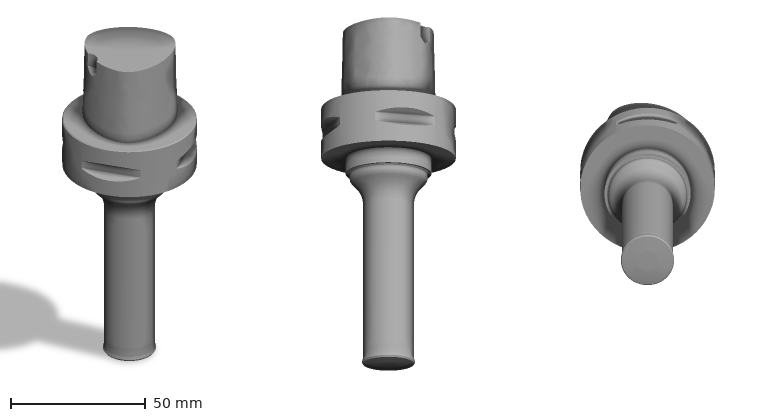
import cadquery as cq
import math

TOTAL_LENGTH = 129.0
SHANK_LINE_Z = 102.2
FLANGE_TOP_Z = 99.1
FLANGE_BOTTOM_Z = 79.5
COLLAR_BOTTOM_Z = 73.7
NECK_TOP_Z = 72.1
CUTTER_TOP_Z = 5.7

FLANGE_RADIUS = 50.0 / 2
FLANGE_CHAMFER = 0.4
COLLAR_RADIUS = 32.0 / 2
NECK_TOP_RADIUS = 29.0 / 2
NECK_CHAMFER = 0.5
STEM_RADIUS = 19.0 / 2

SHOULDER_ARC = 3.0
STEM_ARC = 10.0
ARC_RUN = math.sin(math.radians(45))
ARC_RISE = 1 - math.cos(math.radians(45))
CONE_TOP_RADIUS = NECK_TOP_RADIUS - SHOULDER_ARC * ARC_RISE
CONE_TOP_Z = NECK_TOP_Z - SHOULDER_ARC * ARC_RUN
CONE_BOTTOM_RADIUS = STEM_RADIUS + STEM_ARC * ARC_RISE
CONE_BOTTOM_Z = CONE_TOP_Z - (CONE_TOP_RADIUS - CONE_BOTTOM_RADIUS)
STEM_TOP_Z = CONE_BOTTOM_Z - STEM_ARC * ARC_RUN

LOBE_HEIGHT = 1.2
OUTLINE_POINTS = 48
SHANK_TOP_RADIUS = 16.9
SHANK_TAPER = 1 / 40
SHANK_BASE_RADIUS = SHANK_TOP_RADIUS + SHANK_TAPER * (TOTAL_LENGTH - SHANK_LINE_Z)

NOTCH_RADIUS = 4.4
NOTCH_SHOULDER_Z = 123.6
NOTCH_INNER_Y = -13.8

GROOVE_COUNT = 4
GROOVE_FIRST_ANGLE = 45
GROOVE_Z = 89.1
GROOVE_FLOOR_DISTANCE = 22.2
GROOVE_FLOOR_HEIGHT = 3.2
GROOVE_MOUTH_HEIGHT = 6.7
GROOVE_FILLET = 0.5

CUTTER_RADIUS = 9.9
CUTTER_RIM_TOP_Z = 1.0
CUTTER_RIM_BOTTOM_Z = 0.4
CUTTER_WAIST_RADIUS = 9.4
CUTTER_WAIST_Z = 3.7
CUTTER_FLARE_RADIUS = 9.5
CUTTER_FLARE_Z = 2.2
CUTTER_FACE_RADIUS = 3.9
CUTTER_FACE_EDGE_RADIUS = 9.5


def lobed_wire(mean_radius, z):
    """Three-lobed closed curve at height z, with one lobe pointing to +Y."""
    points = []
    for i in range(OUTLINE_POINTS):
        angle = 2 * math.pi * i / OUTLINE_POINTS
        reach = mean_radius + LOBE_HEIGHT * math.cos(3 * angle)
        slide = -3 * LOBE_HEIGHT * math.sin(3 * angle)
        x = -reach * math.sin(angle) - slide * math.cos(angle)
        y = reach * math.cos(angle) - slide * math.sin(angle)
        points.append(cq.Vector(x, y, z))
    return cq.Wire.assembleEdges([cq.Edge.makeSpline(points, periodic=True)])


def make_shank():
    base = lobed_wire(SHANK_BASE_RADIUS, FLANGE_TOP_Z)
    line = lobed_wire(SHANK_BASE_RADIUS, SHANK_LINE_Z)
    top = lobed_wire(SHANK_TOP_RADIUS, TOTAL_LENGTH)
    straight = cq.Workplane(cq.Solid.makeLoft([base, line], True))
    return straight.union(cq.Workplane(cq.Solid.makeLoft([line, top], True)))


def make_notch():
    """Round-nosed drill shape with a 90 degree tip."""
    return (
        cq.Workplane("XZ")
        .moveTo(0, TOTAL_LENGTH)
        .lineTo(NOTCH_RADIUS, TOTAL_LENGTH)
        .lineTo(NOTCH_RADIUS, NOTCH_SHOULDER_Z)
        .lineTo(0, NOTCH_SHOULDER_Z - NOTCH_RADIUS)
        .close()
        .revolve(360, (0, 0, 0), (0, 1, 0))
        .translate((0, NOTCH_INNER_Y - NOTCH_RADIUS, 0))
    )


def make_turned_body():
    """Flange, collar, flared neck and stem."""
    return (
        cq.Workplane("XZ")
        .moveTo(0, FLANGE_TOP_Z)
        .lineTo(FLANGE_RADIUS - FLANGE_CHAMFER, FLANGE_TOP_Z)
        .lineTo(FLANGE_RADIUS, FLANGE_TOP_Z - FLANGE_CHAMFER)
        .lineTo(FLANGE_RADIUS, FLANGE_BOTTOM_Z)
        .lineTo(COLLAR_RADIUS, FLANGE_BOTTOM_Z)
        .lineTo(COLLAR_RADIUS, COLLAR_BOTTOM_Z)
        .lineTo(NECK_TOP_RADIUS + NECK_CHAMFER, COLLAR_BOTTOM_Z)
        .lineTo(NECK_TOP_RADIUS, COLLAR_BOTTOM_Z - NECK_CHAMFER)
        .lineTo(NECK_TOP_RADIUS, NECK_TOP_Z)
        .tangentArcPoint((CONE_TOP_RADIUS, CONE_TOP_Z), relative=False)
        .lineTo(CONE_BOTTOM_RADIUS, CONE_BOTTOM_Z)
        .tangentArcPoint((STEM_RADIUS, STEM_TOP_Z), relative=False)
        .lineTo(STEM_RADIUS, CUTTER_TOP_Z)
        .lineTo(0, CUTTER_TOP_Z)
        .close()
        .revolve(360, (0, 0, 0), (0, 1, 0))
    )


def make_groove(angle):
    """Straight groove with a flat floor, rounded corners and flaring sides, facing the given direction."""
    floor_half = GROOVE_FLOOR_HEIGHT / 2
    mouth_half = GROOVE_MOUTH_HEIGHT / 2
    return (
        cq.Workplane("XZ")
        .polyline([
            (GROOVE_FLOOR_DISTANCE, GROOVE_Z - floor_half),
            (FLANGE_RADIUS, GROOVE_Z - mouth_half),
            (FLANGE_RADIUS, GROOVE_Z + mouth_half),
            (GROOVE_FLOOR_DISTANCE, GROOVE_Z + floor_half),
        ])
        .close()
        .extrude(FLANGE_RADIUS, both=True)
        .faces("<X")
        .edges("|Y")
        .fillet(GROOVE_FILLET)
        .rotate((0, 0, 0), (0, 0, 1), angle)
    )


def make_holder():
    holder = make_turned_body().union(make_shank()).cut(make_notch())
    for i in range(GROOVE_COUNT):
        holder = holder.cut(make_groove(GROOVE_FIRST_ANGLE + i * 360 / GROOVE_COUNT))
    return holder


def make_cutter():
    """Cutting head with a slight waist that widens to a rim and ends in a shallow cone."""
    return (
        cq.Workplane("XZ")
        .moveTo(0, CUTTER_TOP_Z)
        .lineTo(STEM_RADIUS, CUTTER_TOP_Z)
        .threePointArc((CUTTER_WAIST_RADIUS, CUTTER_WAIST_Z), (CUTTER_FLARE_RADIUS, CUTTER_FLARE_Z))
        .lineTo(CUTTER_RADIUS, CUTTER_RIM_TOP_Z)
        .lineTo(CUTTER_FACE_EDGE_RADIUS, CUTTER_RIM_BOTTOM_Z)
        .lineTo(CUTTER_FACE_RADIUS, 0)
        .lineTo(0, 0)
        .close()
        .revolve(360, (0, 0, 0), (0, 1, 0))
    )


holder = make_holder()
cutter = make_cutter()
result = cq.Compound.makeCompound([holder.val(), cutter.val()])